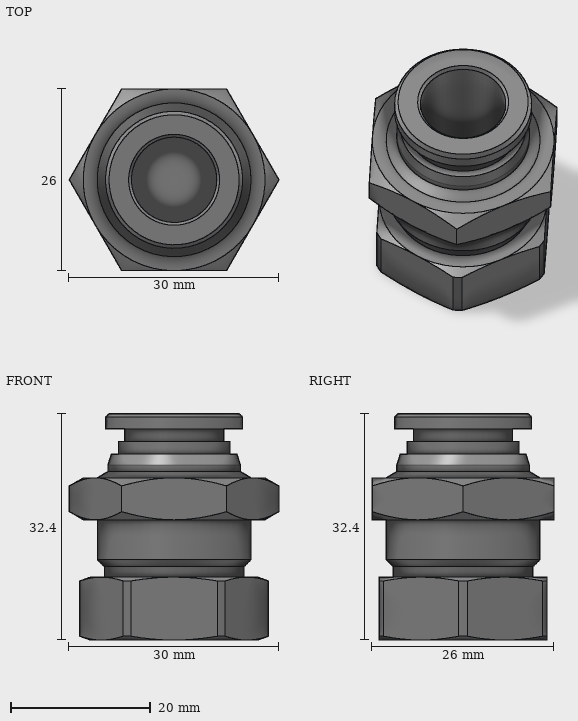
import cadquery as cq
import math

HEX_SIDES = 6
HEX_HALF_ANGLE = math.pi / HEX_SIDES
BULKHEAD_HEX_FLATS = 26.0
BULKHEAD_HEX_HEIGHT = 6.0
BULKHEAD_HEX_BOTTOM = 17.2
BULKHEAD_CHAMFER_ANGLE = 30.0
BASE_HEX_FLATS = 24.0
BASE_HEX_HEIGHT = 9.0
BASE_CORNER_DIAMETER = 27.0
BASE_CHAMFER_ANGLE = 20.0

THREAD_RADIUS = 11.0
THREAD_RELIEF_RADIUS = 10.0
THREAD_CHAMFER = THREAD_RADIUS - THREAD_RELIEF_RADIUS
THREAD_CHAMFER_BOTTOM = 10.5
SHOULDER_RADIUS = 9.5
SHOULDER_BOTTOM = 24.1
SHOULDER_TOP = 25.0
TAPER_TOP_RADIUS = 9.0
TAPER_TOP = 26.6
STEP_RADIUS = 8.0
STEP_TOP = 28.4
NECK_RADIUS = 7.1

TOTAL_HEIGHT = 32.4
COLLAR_RADIUS = 9.8
COLLAR_HEIGHT = 2.2
COLLAR_CHAMFER = 0.5
BORE_RADIUS = 6.1
BORE_MOUTH_RADIUS = 6.5
BORE_MOUTH_DEPTH = BORE_MOUTH_RADIUS - BORE_RADIUS
BORE_FLOOR = BASE_HEX_HEIGHT


def revolve_profile(points):
    """Turn a closed (radius, z) outline around the Z axis."""
    return cq.Workplane("XZ").polyline(points).close().revolve(360, (0, 0), (0, 1))


def chamfered_hexagon(flats, bottom, height, corner_radius, chamfer_angle):
    """Hexagon turned to corner_radius, with end chamfers that start at the flats."""
    corner_distance = flats / math.cos(HEX_HALF_ANGLE)
    flat_radius = flats / 2
    top = bottom + height
    drop = (corner_radius - flat_radius) * math.tan(math.radians(chamfer_angle))
    prism = cq.Workplane("XY").workplane(offset=bottom).polygon(HEX_SIDES, corner_distance).extrude(height)
    envelope = revolve_profile([
        (0, bottom),
        (flat_radius, bottom),
        (corner_radius, bottom + drop),
        (corner_radius, top - drop),
        (flat_radius, top),
        (0, top),
    ])
    return prism.intersect(envelope)


def bulkhead_hexagon():
    sharp_corner_radius = BULKHEAD_HEX_FLATS / 2 / math.cos(HEX_HALF_ANGLE)
    return chamfered_hexagon(
        BULKHEAD_HEX_FLATS, BULKHEAD_HEX_BOTTOM, BULKHEAD_HEX_HEIGHT,
        sharp_corner_radius, BULKHEAD_CHAMFER_ANGLE,
    )


def base_hexagon():
    return chamfered_hexagon(
        BASE_HEX_FLATS, 0, BASE_HEX_HEIGHT, BASE_CORNER_DIAMETER / 2, BASE_CHAMFER_ANGLE,
    )


def turned_body():
    """Thread, flare, stepped shoulder, neck and collar in one turned profile."""
    flare_bottom = BULKHEAD_HEX_BOTTOM + BULKHEAD_HEX_HEIGHT
    collar_bottom = TOTAL_HEIGHT - COLLAR_HEIGHT
    return revolve_profile([
        (0, 0),
        (THREAD_RELIEF_RADIUS, 0),
        (THREAD_RELIEF_RADIUS, THREAD_CHAMFER_BOTTOM),
        (THREAD_RADIUS, THREAD_CHAMFER_BOTTOM + THREAD_CHAMFER),
        (THREAD_RADIUS, flare_bottom),
        (SHOULDER_RADIUS, SHOULDER_BOTTOM),
        (SHOULDER_RADIUS, SHOULDER_TOP),
        (TAPER_TOP_RADIUS, TAPER_TOP),
        (STEP_RADIUS, TAPER_TOP),
        (STEP_RADIUS, STEP_TOP),
        (NECK_RADIUS, STEP_TOP),
        (NECK_RADIUS, collar_bottom),
        (COLLAR_RADIUS, collar_bottom),
        (COLLAR_RADIUS, TOTAL_HEIGHT - COLLAR_CHAMFER),
        (COLLAR_RADIUS - COLLAR_CHAMFER, TOTAL_HEIGHT),
        (0, TOTAL_HEIGHT),
    ])


def tube_bore():
    """Blind bore with a chamfered mouth, open at the top of the collar."""
    return revolve_profile([
        (0, BORE_FLOOR),
        (BORE_RADIUS, BORE_FLOOR),
        (BORE_RADIUS, TOTAL_HEIGHT - BORE_MOUTH_DEPTH),
        (BORE_MOUTH_RADIUS, TOTAL_HEIGHT),
        (0, TOTAL_HEIGHT),
    ])


result = turned_body().union(base_hexagon()).union(bulkhead_hexagon()).cut(tube_bore())